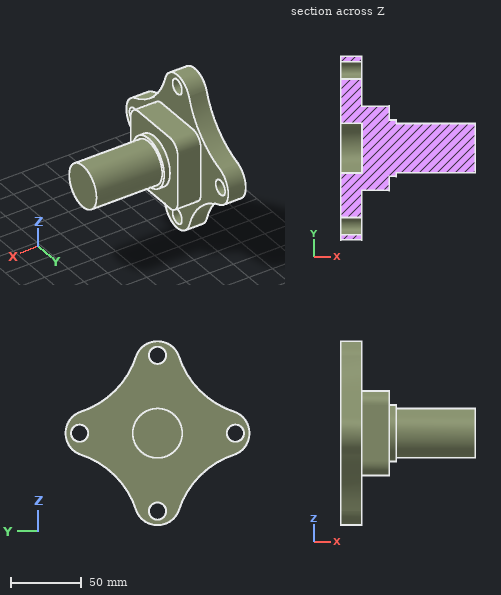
import cadquery as cq

flange_span = 130.0
flange_thickness = 15.0
lobe_tip = flange_span / 2
hole_offset = 55.0
lobe_half_width = 15.0
waist_offset = 30.0
bolt_hole_diameter = 12.0

block_side = 59.9
block_corner_radius = 10.0
block_length = 19.5
collar_diameter = 40.2
collar_length = 5.0
shaft_diameter = 35.0
overall_length = 95.0

recess_diameter = shaft_diameter
recess_depth = flange_thickness

block_end = flange_thickness + block_length
collar_end = block_end + collar_length
shaft_length = overall_length - collar_end


def quarter_turns(y, z, turns):
    """Rotate the point (y, z) about the X axis by a number of quarter turns."""
    for _ in range(turns):
        y, z = -z, y
    return y, z


def make_flange():
    outline = cq.Workplane("YZ").moveTo(hole_offset, -lobe_half_width)
    for turn in range(4):
        outline = outline.threePointArc(
            quarter_turns(lobe_tip, 0, turn),
            quarter_turns(hole_offset, lobe_half_width, turn),
        )
        outline = outline.threePointArc(
            quarter_turns(waist_offset, waist_offset, turn),
            quarter_turns(lobe_half_width, hole_offset, turn),
        )
    return outline.close().extrude(flange_thickness)


def make_block():
    block = cq.Workplane("YZ", origin=(flange_thickness, 0, 0)).rect(block_side, block_side)
    return block.extrude(block_length).edges("|X").fillet(block_corner_radius)


def make_cylinder(start, diameter, length):
    """Solid cylinder along +X, starting at X = start."""
    return cq.Workplane("YZ", origin=(start, 0, 0)).circle(diameter / 2).extrude(length)


def make_bolt_holes():
    holes = cq.Workplane("YZ").polarArray(hole_offset, 0, 360, 4)
    return holes.circle(bolt_hole_diameter / 2).extrude(flange_thickness)


result = (
    make_flange()
    .union(make_block())
    .union(make_cylinder(block_end, collar_diameter, collar_length))
    .union(make_cylinder(collar_end, shaft_diameter, shaft_length))
    .cut(make_cylinder(0, recess_diameter, recess_depth))
    .cut(make_bolt_holes())
)